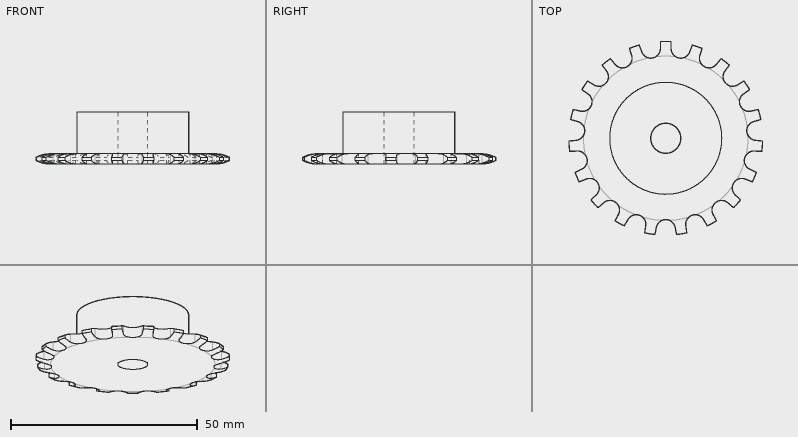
import cadquery as cq
import math


overall_width = 51.9
overall_height = 14.0
plate_thickness = 2.8
hub_diameter = 30.0
bore_diameter = 8.0
tooth_count = 19
root_radius = 21.8
seat_radius = 2.55
tip_half_angle = math.radians(3.1)
rounding_start_radius = 22.0
rounding_depth = 1.0

tooth_step = 2 * math.pi / tooth_count
half_step = tooth_step / 2
pitch_radius = root_radius + seat_radius
tip_radius = overall_width / 2 / math.cos(tooth_step / 4 - tip_half_angle)


def rotated(point, angle):
    """Turn a point about the origin, counterclockwise."""
    x, y = point
    cosine = math.cos(angle)
    sine = math.sin(angle)
    return (x * cosine - y * sine, x * sine + y * cosine)


def on_circle(center, radius, angle):
    """Point on a circle at an angle measured from +X."""
    return (center[0] + radius * math.cos(angle), center[1] + radius * math.sin(angle))


def half_tooth_points():
    """Right half of the +Y tooth: root, seat middle, seat end, flank middle, tip corner."""
    axis = (0, 0)
    gap_direction = math.pi / 2 - half_step
    root = on_circle(axis, root_radius, gap_direction)
    tip_corner = on_circle(axis, tip_radius, math.pi / 2 - tip_half_angle)

    seat_center = on_circle(axis, pitch_radius, gap_direction)
    seat_end = on_circle(seat_center, seat_radius, math.pi)
    seat_middle = on_circle(seat_center, seat_radius, math.pi + gap_direction / 2)

    inset = seat_end[0] - tip_corner[0]
    rise = tip_corner[1] - seat_end[1]
    flank_radius = (inset**2 + rise**2) / (2 * inset)
    flank_center = (seat_end[0] - flank_radius, seat_end[1])
    flank_middle = on_circle(flank_center, flank_radius, math.asin(rise / flank_radius) / 2)
    return root, seat_middle, seat_end, flank_middle, tip_corner


def toothed_blank():
    """Straight-sided plate with the full tooth outline."""
    right_half = half_tooth_points()
    left_half = [(-x, y) for x, y in reversed(right_half)]
    tooth = [*right_half, (0, tip_radius), *left_half]
    outline = cq.Workplane("XY").moveTo(*tooth[0])
    for index in range(tooth_count):
        placed = [rotated(point, index * tooth_step) for point in tooth]
        for middle, end in zip(placed[1::2], placed[2::2]):
            outline = outline.threePointArc(middle, end)
    return outline.close().extrude(plate_thickness)


def rounded_disc():
    """Disc whose two sides curve towards each other at the rim."""
    rounding_width = tip_radius - rounding_start_radius
    rounding_radius = (rounding_width**2 + rounding_depth**2) / (2 * rounding_depth)
    half_sweep = math.asin(rounding_width / rounding_radius) / 2
    middle_radius = rounding_start_radius + rounding_radius * math.sin(half_sweep)
    middle_depth = rounding_radius * (1 - math.cos(half_sweep))
    return (
        cq.Workplane("YZ")
        .lineTo(rounding_start_radius, 0)
        .threePointArc((middle_radius, middle_depth), (tip_radius, rounding_depth))
        .lineTo(tip_radius, plate_thickness - rounding_depth)
        .threePointArc(
            (middle_radius, plate_thickness - middle_depth),
            (rounding_start_radius, plate_thickness),
        )
        .lineTo(0, plate_thickness)
        .close()
        .revolve(360, (0, 0, 0), (0, 1, 0))
    )


tooth_plate = toothed_blank().intersect(rounded_disc())
hub = cq.Workplane("XY").circle(hub_diameter / 2).extrude(overall_height)
bore = cq.Workplane("XY").circle(bore_diameter / 2).extrude(overall_height)

result = tooth_plate.union(hub).cut(bore)